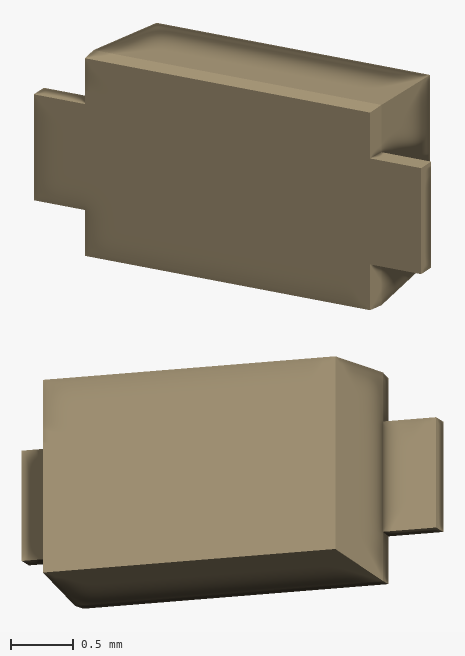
import cadquery as cq
import math

overall_length = 3.5
housing_depth = 1.1
housing_length = 2.6
housing_height = 1.7
draft_angle = 4.0

lead_thickness = 0.168
lead_height = 0.9
band_length = 0.555
band_thickness = 0.052

draft_slope = math.tan(math.radians(draft_angle))
housing_end = housing_length / 2
back_end = housing_end - (housing_depth - lead_thickness) * draft_slope
front_end = housing_end - lead_thickness * draft_slope


def drafted_half(depth):
    """Block that starts at the parting plane and tapers towards +Z of its own frame."""
    return (
        cq.Workplane("XY")
        .rect(housing_length, housing_height)
        .extrude(depth, taper=draft_angle)
    )


def make_envelope():
    """Outer shape of the moulding, with its front face at Y = 0."""
    back = drafted_half(housing_depth - lead_thickness).rotate((0, 0, 0), (1, 0, 0), -90)
    front = drafted_half(lead_thickness).rotate((0, 0, 0), (1, 0, 0), 90)
    return back.union(front).translate((0, lead_thickness, 0))


def make_band(envelope):
    """Polarity band set flush into the back face at the -X end."""
    band_edge = band_length - back_end
    block = cq.Workplane("XY").box(
        overall_length, band_thickness, housing_height, centered=(False, False, True)
    ).translate((band_edge - overall_length, housing_depth - band_thickness, 0))
    return envelope.intersect(block)


def make_lead(side, envelope):
    """Flat lead that butts against the drafted end; side is -1 or +1 along X."""
    lead_length = overall_length / 2 - front_end
    lead_center = side * (overall_length / 2 - lead_length / 2)
    blank = cq.Workplane("XY").box(
        lead_length, lead_thickness, lead_height, centered=(True, False, True)
    ).translate((lead_center, 0, 0))
    return blank.cut(envelope)


envelope = make_envelope()
band = make_band(envelope)
housing = envelope.cut(band)
leads = [make_lead(side, envelope) for side in (-1, 1)]

result = cq.Compound.makeCompound(
    [body.solids().val() for body in (housing, band, *leads)]
)